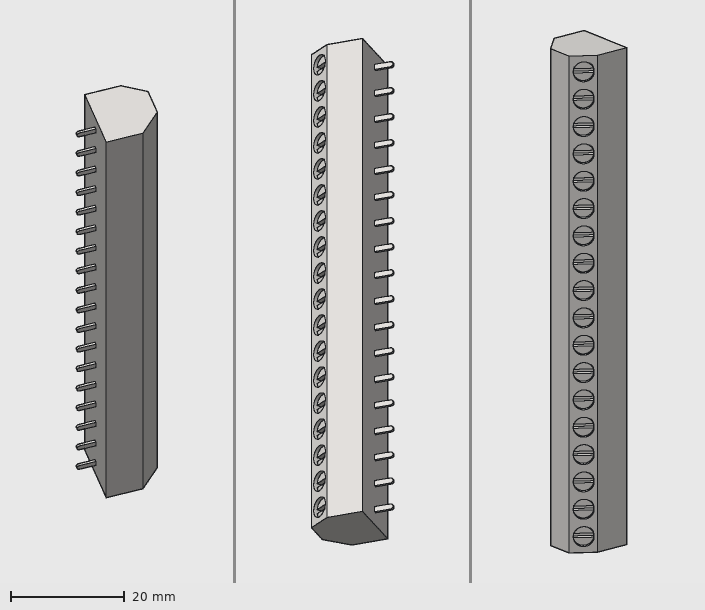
import cadquery as cq
import math

pole_count = 18
pitch = 5.08
end_margin = 3.0
height = (pole_count - 1) * pitch + 2 * end_margin

width = 12.0
depth = 10.8
left_slope_width = 2.8
left_slope_depth = 4.1
right_slope_size = 4.0

pin_length = 3.5
pin_thickness = 0.5
pin_height = 1.0
pin_root = 0.5

well_diameter = 3.7
well_depth = 0.7
well_shift = 0.1
slot_width = 0.8
slot_depth = 1.0

half_width = width / 2
pole_heights = [end_margin + i * pitch for i in range(pole_count)]

slope_length = math.hypot(left_slope_width, left_slope_depth)
slope_normal = (-left_slope_depth / slope_length, left_slope_width / slope_length, 0)
well_x = -half_width + left_slope_width * (0.5 - well_shift / slope_length)
well_y = depth - left_slope_depth * (0.5 + well_shift / slope_length)


def make_housing():
    outline = [
        (-half_width, 0),
        (half_width, 0),
        (half_width, depth - right_slope_size),
        (half_width - right_slope_size, depth),
        (-half_width + left_slope_width, depth),
        (-half_width, depth - left_slope_depth),
    ]
    return cq.Workplane("XY").polyline(outline).close().extrude(height)


def make_pin(z):
    tip_radius = pin_height / 2
    tip_start_y = -pin_length + tip_radius
    return (
        cq.Workplane("YZ", origin=(0, 0, z))
        .moveTo(pin_root, tip_radius)
        .lineTo(tip_start_y, tip_radius)
        .threePointArc((-pin_length, 0), (tip_start_y, -tip_radius))
        .lineTo(pin_root, -tip_radius)
        .close()
        .extrude(pin_thickness / 2, both=True)
    )


def make_screw_well(z):
    slope_plane = cq.Plane(
        origin=(well_x, well_y, z),
        xDir=(slope_normal[1], -slope_normal[0], 0),
        normal=slope_normal,
    )
    floor_plane = cq.Workplane(slope_plane).workplane(offset=-well_depth)
    well = floor_plane.circle(well_diameter / 2).extrude(well_depth)
    slot_bar = floor_plane.rect(well_diameter, slot_width).extrude(-slot_depth)
    screw_head = floor_plane.circle(well_diameter / 2).extrude(-slot_depth)
    return well.union(slot_bar.intersect(screw_head))


result = make_housing()
for pole_z in pole_heights:
    result = result.union(make_pin(pole_z))
    result = result.cut(make_screw_well(pole_z))